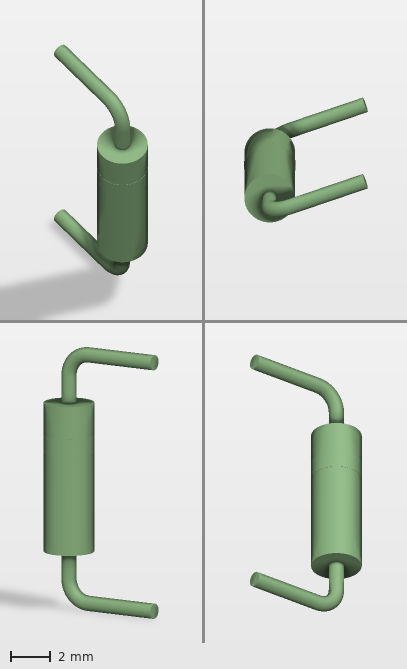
import cadquery as cq

overall_height = 13.46
overall_width = 6.37

body_diameter = 2.55
body_length = 7.6

band_diameter = 2.57
band_width = 0.9
band_top_offset = 1.64

lead_diameter = 0.77
bend_radius = 1.16

body_top = body_length / 2
band_bottom = body_top - band_top_offset - band_width
lead_level = (overall_height - lead_diameter) / 2
lead_reach = overall_width - band_diameter / 2


def make_body():
    """Plain cylinder that carries the band and both leads."""
    return cq.Workplane("XY", origin=(0, 0, -body_top)).circle(body_diameter / 2).extrude(body_length)


def make_band():
    """Ring fitted closely around the body."""
    return (
        cq.Workplane("XY", origin=(0, 0, band_bottom))
        .circle(band_diameter / 2)
        .circle(body_diameter / 2)
        .extrude(band_width)
    )


def make_lead(side):
    """Wire leaving one body end and bending toward -X; side is +1 for top, -1 for bottom."""
    bend_start = side * (lead_level - bend_radius)
    path = (
        cq.Workplane("XZ")
        .moveTo(0, side * body_top)
        .lineTo(0, bend_start)
        .tangentArcPoint((-bend_radius, side * lead_level), relative=False)
        .lineTo(-lead_reach, side * lead_level)
    )
    return cq.Workplane("XY", origin=(0, 0, side * body_top)).circle(lead_diameter / 2).sweep(path)


body = make_body()
band = make_band()
leads = [make_lead(side) for side in (1, -1)]

result = cq.Compound.makeCompound([body.val(), band.val(), *[lead.val() for lead in leads]])